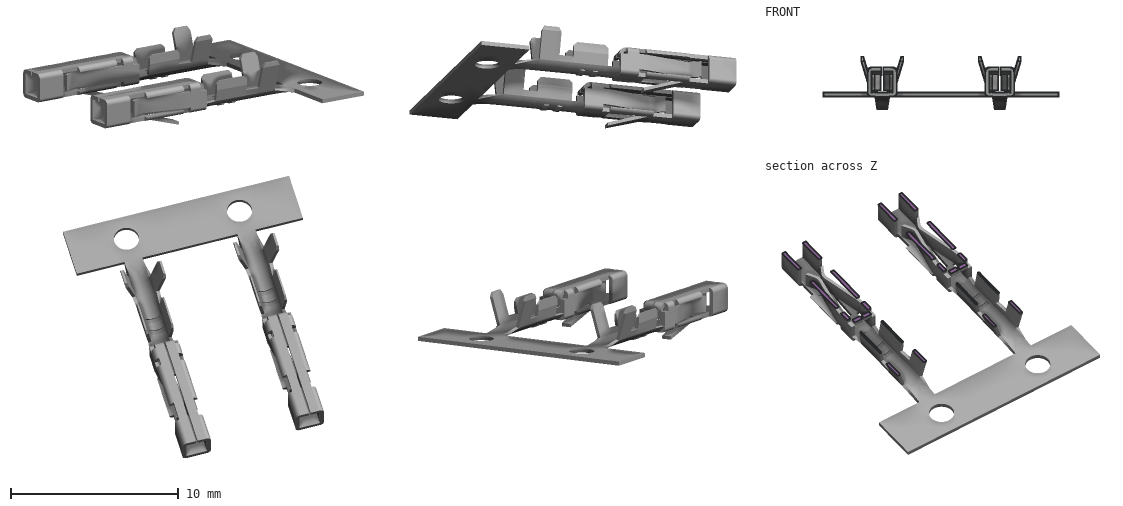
import cadquery as cq
import math

SHEET = 0.25
THINNED_SHEET = 0.20
PITCH = 7.0
CONTACT_COUNT = 2

STRIP_LENGTH = PITCH * CONTACT_COUNT
STRIP_WIDTH = 3.0
TOTAL_LENGTH = 16.8
STRIP_FRONT = TOTAL_LENGTH - STRIP_WIDTH
PILOT_HOLE_DIAMETER = 1.5
NECK_HALF_WIDTH = 0.56

BOX_SIZE = 1.75
BOX_HALF = BOX_SIZE / 2
BOX_BACK = 7.23
SEAM_GAP = 0.11
BOTTOM_CORNER_RADIUS = SHEET
TOP_CORNER_RADIUS = 0.30
PLATE_HALF_WIDTH = 0.60
CURL_RADIUS = 0.43
SIDE_WALL_TOP = 1.27

WINDOW_FRONT = 1.70
WINDOW_BACK = 6.08
WINDOW_BOTTOM = BOTTOM_CORNER_RADIUS
WINDOW_TOP = BOX_SIZE - TOP_CORNER_RADIUS
FRONT_RELIEF_BACK = 2.90
BACK_RELIEF_FRONT = 5.61

SPRING_BOTTOM = 0.37
SPRING_TOP = 1.34
SPRING_BEND_START = (BOX_HALF, WINDOW_BACK)
SPRING_BEND_MIDDLE = (0.86, 5.785)
SPRING_BEND_END = (0.815, 5.49)
SPRING_THROAT_START = (0.30, 3.07)
SPRING_THROAT_MIDDLE = (0.292, 2.86)
SPRING_THROAT_END = (0.356, 2.65)
SPRING_TIP = (0.65, 2.13)

LANCE_ROOT_Y = 3.17
LANCE_TIP_Y = 5.60
LANCE_DROP = 0.75
LANCE_ROOT_HALF_WIDTH = 0.42
LANCE_TIP_HALF_WIDTH = 0.30

CRADLE_HEIGHT = 0.42
INSULATION_LEAN = math.radians(17)
INSULATION_FRONT = 11.06
INSULATION_BACK = 12.27
INSULATION_TOP = 2.38
INSULATION_CRADLE_HALF = 0.74
INSULATION_REACH = 1.26
INSULATION_CORNER = (0.16, 0.27)
CONDUCTOR_LEAN = math.radians(10.5)
CONDUCTOR_FRONT = 8.0
CONDUCTOR_BACK = 10.16
CONDUCTOR_TOP = 1.69
CONDUCTOR_CRADLE_HALF = 0.72
CONDUCTOR_REACH = 0.85
CONDUCTOR_CORNER = (0.20, 0.19)
LINK_WALL_TOP = 0.78
BOX_END_CRADLE_HALF = 0.85

RIB_CENTERS = (8.68, 9.49)
RIB_WIDTH = 0.29
RIB_DEPTH = 0.07
RIB_HALF_LENGTH = 0.45


def block(x_range, y_range, z_range):
    """Axis-aligned block between the given limits."""
    starts, ends = zip(x_range, y_range, z_range)
    sizes = [end - start for start, end in zip(starts, ends)]
    return cq.Workplane("XY").box(*sizes, centered=False).translate(starts)


def with_mirror(body):
    """The body together with its mirror image across the contact's mid-plane."""
    return body.union(body.mirror("YZ"))


def cross_section(y):
    """Workplane across the contact at y, with local axes X and Z, extruding toward -Y."""
    return cq.Workplane("XZ", origin=(0, y, 0))


def inner_cradle_point(cradle_half, lean):
    """End of the inner cradle arc, one thinned sheet thickness in from the outer end."""
    return (
        cradle_half - THINNED_SHEET * math.cos(lean),
        CRADLE_HEIGHT + THINNED_SHEET * math.sin(lean),
    )


def cradle_wire(plane, cradle_half, lean):
    """Arched floor section without wings."""
    inner_x, inner_z = inner_cradle_point(cradle_half, lean)
    return (
        plane.moveTo(-cradle_half, CRADLE_HEIGHT)
        .threePointArc((0, 0), (cradle_half, CRADLE_HEIGHT))
        .lineTo(inner_x, inner_z)
        .threePointArc((0, THINNED_SHEET), (-inner_x, inner_z))
        .close()
    )


def winged_wire(plane, cradle_half, lean, top):
    """Arched floor section with leaning wings cut level at the top height."""
    inner_x, inner_z = inner_cradle_point(cradle_half, lean)
    slope = math.tan(lean)
    outer_top_x = cradle_half + slope * (top - CRADLE_HEIGHT)
    inner_top_x = inner_x + slope * (top - inner_z)
    return (
        plane.moveTo(-cradle_half, CRADLE_HEIGHT)
        .threePointArc((0, 0), (cradle_half, CRADLE_HEIGHT))
        .lineTo(outer_top_x, top)
        .lineTo(inner_top_x, top)
        .lineTo(inner_x, inner_z)
        .threePointArc((0, THINNED_SHEET), (-inner_x, inner_z))
        .lineTo(-inner_top_x, top)
        .lineTo(-outer_top_x, top)
        .close()
    )


def crimp_barrel(front, back, cradle_half, lean, top, reach, corner):
    """Barrel whose wing tips are trimmed upright at the reach and cut at the corners."""
    barrel = winged_wire(cross_section(back), cradle_half, lean, top).extrude(back - front)
    corner_y, corner_z = corner
    envelope = (
        cq.Workplane("YZ")
        .polyline([
            (front, 0),
            (back, 0),
            (back, top - corner_z),
            (back - corner_y, top),
            (front + corner_y, top),
            (front, top - corner_z),
        ])
        .close()
        .extrude(reach, both=True)
    )
    return barrel.intersect(envelope)


def insulation_barrel():
    return crimp_barrel(
        INSULATION_FRONT, INSULATION_BACK, INSULATION_CRADLE_HALF, INSULATION_LEAN,
        INSULATION_TOP, INSULATION_REACH, INSULATION_CORNER,
    )


def conductor_barrel():
    """Conductor barrel with grip ribs recessed inside and raised underneath."""
    barrel = crimp_barrel(
        CONDUCTOR_FRONT, CONDUCTOR_BACK, CONDUCTOR_CRADLE_HALF, CONDUCTOR_LEAN,
        CONDUCTOR_TOP, CONDUCTOR_REACH, CONDUCTOR_CORNER,
    )
    for center in RIB_CENTERS:
        front = center - RIB_WIDTH / 2
        back = center + RIB_WIDTH / 2
        zone = block(
            (-RIB_HALF_LENGTH, RIB_HALF_LENGTH), (front, back), (-RIB_DEPTH, CRADLE_HEIGHT)
        )
        floor = cradle_wire(cross_section(back), CONDUCTOR_CRADLE_HALF, CONDUCTOR_LEAN).extrude(RIB_WIDTH)
        pressed_floor = floor.translate((0, 0, -RIB_DEPTH)).intersect(zone)
        recess = floor.intersect(zone).cut(pressed_floor)
        barrel = barrel.cut(recess).union(pressed_floor)
    return barrel


def barrel_link():
    """Low-walled channel joining the two barrels."""
    back_section = winged_wire(
        cross_section(INSULATION_FRONT), INSULATION_CRADLE_HALF, INSULATION_LEAN, LINK_WALL_TOP
    )
    front_plane = back_section.workplane(offset=INSULATION_FRONT - CONDUCTOR_BACK)
    both_sections = winged_wire(
        front_plane, CONDUCTOR_CRADLE_HALF, CONDUCTOR_LEAN, LINK_WALL_TOP,
    )
    return both_sections.loft(ruled=True)


def box_link():
    """Floor that widens from the conductor barrel to the box."""
    back_section = cradle_wire(cross_section(CONDUCTOR_FRONT), CONDUCTOR_CRADLE_HALF, CONDUCTOR_LEAN)
    front_plane = back_section.workplane(offset=CONDUCTOR_FRONT - BOX_BACK)
    return cradle_wire(front_plane, BOX_END_CRADLE_HALF, CONDUCTOR_LEAN).loft(ruled=True)


def strip_link():
    """Neck that changes from the flat strip to the arched insulation barrel floor."""
    flat_section = (
        cross_section(STRIP_FRONT)
        .moveTo(-NECK_HALF_WIDTH, 0)
        .lineTo(NECK_HALF_WIDTH, 0)
        .lineTo(NECK_HALF_WIDTH, SHEET)
        .lineTo(-NECK_HALF_WIDTH, SHEET)
        .close()
    )
    front_plane = flat_section.workplane(offset=STRIP_FRONT - INSULATION_BACK)
    return cradle_wire(front_plane, INSULATION_CRADLE_HALF, INSULATION_LEAN).loft(ruled=True)


def box_shell():
    """Square tube with rounded outer edges and the top plates curled down at the back."""
    tube = (
        block((-BOX_HALF, BOX_HALF), (0, BOX_BACK), (0, BOX_SIZE))
        .edges("|Y and <Z")
        .fillet(BOTTOM_CORNER_RADIUS)
        .edges("|Y and >Z")
        .fillet(TOP_CORNER_RADIUS)
    )
    cavity_half = BOX_HALF - SHEET
    cavity = block((-cavity_half, cavity_half), (0, BOX_BACK), (SHEET, BOX_SIZE - SHEET))
    curl_start = BOX_BACK - CURL_RADIUS
    curl_zone = block((-BOX_HALF, BOX_HALF), (curl_start, BOX_BACK), (SIDE_WALL_TOP, BOX_SIZE))
    curl_plane = cq.Workplane("YZ").center(curl_start, BOX_SIZE - CURL_RADIUS)
    curl = (
        curl_plane.circle(CURL_RADIUS)
        .circle(CURL_RADIUS - SHEET)
        .extrude(PLATE_HALF_WIDTH, both=True)
        .intersect(curl_zone)
    )
    seam = block((-SEAM_GAP / 2, SEAM_GAP / 2), (0, BOX_BACK), (SIDE_WALL_TOP, BOX_SIZE))
    return tube.cut(cavity).cut(curl_zone).union(curl).cut(seam)


def side_window():
    """Opening in the +X wall, relieved through the full wall height at both ends."""
    wall_x = (PLATE_HALF_WIDTH, BOX_HALF)
    window = block(wall_x, (WINDOW_FRONT, WINDOW_BACK), (WINDOW_BOTTOM, WINDOW_TOP))
    front_relief = block(wall_x, (WINDOW_FRONT, FRONT_RELIEF_BACK), (0, BOX_SIZE))
    back_relief = block(wall_x, (BACK_RELIEF_FRONT, WINDOW_BACK), (0, BOX_SIZE))
    return window.union(front_relief).union(back_relief)


def contact_spring():
    """Spring from the +X wall that converges to a throat and flares at its tip."""
    outer_face = (
        SPRING_BEND_START, SPRING_BEND_MIDDLE, SPRING_BEND_END,
        SPRING_THROAT_START, SPRING_THROAT_MIDDLE, SPRING_THROAT_END, SPRING_TIP,
    )
    inner_face = [(x - THINNED_SHEET, y) for x, y in outer_face]
    bend_start, bend_middle, bend_end, throat_start, throat_middle, throat_end, tip = inner_face
    return (
        cq.Workplane("XY", origin=(0, 0, SPRING_BOTTOM))
        .moveTo(*SPRING_BEND_START)
        .threePointArc(SPRING_BEND_MIDDLE, SPRING_BEND_END)
        .lineTo(*SPRING_THROAT_START)
        .threePointArc(SPRING_THROAT_MIDDLE, SPRING_THROAT_END)
        .lineTo(*SPRING_TIP)
        .lineTo(*tip)
        .lineTo(*throat_end)
        .threePointArc(throat_middle, throat_start)
        .lineTo(*bend_end)
        .threePointArc(bend_middle, bend_start)
        .close()
        .extrude(SPRING_TOP - SPRING_BOTTOM)
    )


def lance_outline(bottom, height):
    """Tapered plan outline of the lance as a prism."""
    return (
        cq.Workplane("XY", origin=(0, 0, bottom))
        .polyline([
            (-LANCE_ROOT_HALF_WIDTH, LANCE_ROOT_Y),
            (LANCE_ROOT_HALF_WIDTH, LANCE_ROOT_Y),
            (LANCE_TIP_HALF_WIDTH, LANCE_TIP_Y),
            (-LANCE_TIP_HALF_WIDTH, LANCE_TIP_Y),
        ])
        .close()
        .extrude(height)
    )


def locking_lance():
    """Lance bent down out of the box floor."""
    side = (
        cq.Workplane("YZ")
        .polyline([
            (LANCE_ROOT_Y, 0),
            (LANCE_TIP_Y, -LANCE_DROP),
            (LANCE_TIP_Y, THINNED_SHEET - LANCE_DROP),
            (LANCE_ROOT_Y, THINNED_SHEET),
        ])
        .close()
        .extrude(LANCE_ROOT_HALF_WIDTH, both=True)
    )
    return side.intersect(lance_outline(-LANCE_DROP, LANCE_DROP + SHEET))


def receptacle():
    """Box with its windows, springs and locking lance."""
    return (
        box_shell()
        .cut(with_mirror(side_window()))
        .cut(lance_outline(0, SHEET))
        .union(with_mirror(contact_spring()))
        .union(locking_lance())
    )


def contact():
    """One complete contact on the plane x = 0."""
    return (
        receptacle()
        .union(box_link())
        .union(conductor_barrel())
        .union(barrel_link())
        .union(insulation_barrel())
        .union(strip_link())
    )


def carrier_strip(contact_positions):
    """Flat strip with one pilot hole behind each contact."""
    strip = block(
        (-STRIP_LENGTH / 2, STRIP_LENGTH / 2), (STRIP_FRONT, TOTAL_LENGTH), (0, SHEET)
    )
    hole_y = STRIP_FRONT + STRIP_WIDTH / 2
    holes = (
        cq.Workplane("XY")
        .pushPoints([(x, hole_y) for x in contact_positions])
        .circle(PILOT_HOLE_DIAMETER / 2)
        .extrude(SHEET)
    )
    return strip.cut(holes)


positions = [(index - (CONTACT_COUNT - 1) / 2) * PITCH for index in range(CONTACT_COUNT)]
single_contact = contact()
result = carrier_strip(positions)
for position in positions:
    result = result.union(single_contact.translate((position, 0, 0)))